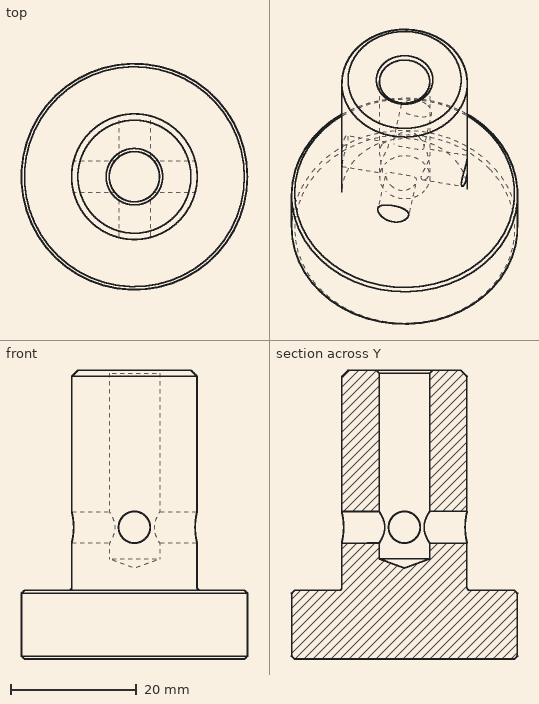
import cadquery as cq
import math

flange_diameter = 36.0
flange_height = 11.0
flange_chamfer = 0.5

stem_diameter = 20.0
total_height = 46.0
stem_chamfer = 1.0
root_fillet = 0.4

bore_diameter = 8.0
bore_depth = 30.0
bore_floor_height = total_height - bore_depth
bore_mouth_chamfer = 0.5
drill_point_angle = 140.0

cross_hole_diameter = 5.0
cross_hole_height = 21.0


def turned_body():
    """Flange and stem revolved about Z."""
    flange_radius = flange_diameter / 2
    stem_radius = stem_diameter / 2
    profile = (
        cq.Workplane("XZ")
        .lineTo(flange_radius - flange_chamfer, 0)
        .lineTo(flange_radius, flange_chamfer)
        .lineTo(flange_radius, flange_height - flange_chamfer)
        .lineTo(flange_radius - flange_chamfer, flange_height)
        .lineTo(stem_radius + root_fillet, flange_height)
        .radiusArc((stem_radius, flange_height + root_fillet), root_fillet)
        .lineTo(stem_radius, total_height - stem_chamfer)
        .lineTo(stem_radius - stem_chamfer, total_height)
        .lineTo(0, total_height)
        .close()
    )
    return profile.revolve(360, (0, 0, 0), (0, 1, 0))


def axial_bore():
    """Drilled bore with a conical floor and a chamfered mouth."""
    radius = bore_diameter / 2
    point_depth = radius / math.tan(math.radians(drill_point_angle / 2))
    profile = (
        cq.Workplane("XZ")
        .moveTo(0, bore_floor_height - point_depth)
        .lineTo(radius, bore_floor_height)
        .lineTo(radius, total_height - bore_mouth_chamfer)
        .lineTo(radius + bore_mouth_chamfer, total_height)
        .lineTo(0, total_height)
        .close()
    )
    return profile.revolve(360, (0, 0, 0), (0, 1, 0))


def cross_hole(plane):
    """Hole straight through the stem, normal to the given plane."""
    return (
        cq.Workplane(plane)
        .center(0, cross_hole_height)
        .circle(cross_hole_diameter / 2)
        .extrude(stem_diameter, both=True)
    )


result = turned_body().cut(axial_bore())
for hole_plane in ("XZ", "YZ"):
    result = result.cut(cross_hole(hole_plane))